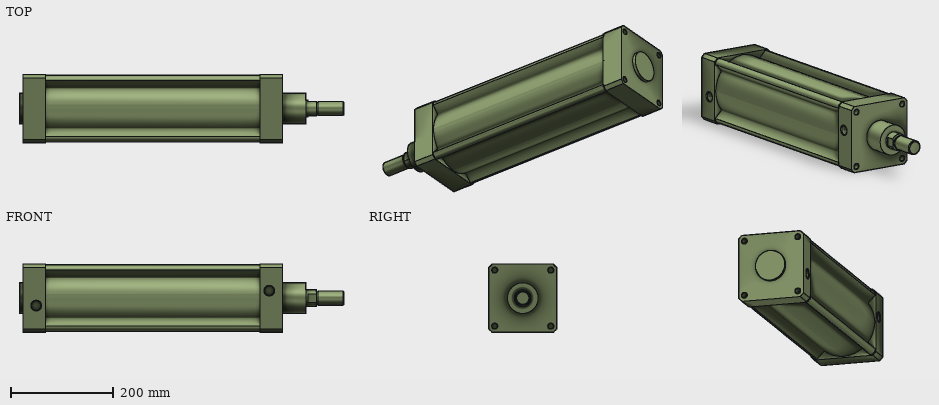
import cadquery as cq
import math

total_length = 635.0
rear_boss_length = 6.5
cap_length = 44.5
barrel_length = 420.0
front_boss_length = 46.0

cap_width = 134.0
cap_corner_chamfer = 7.0
boss_diameter = 60.5

port_diameter = 18.0
port_chamfer = 1.6
port_depth = 19.0
port_offset_z = 14.5
port_from_cap_face = 26.0

bolt_spacing = 110.0
bolt_hole_diameter = 10.0
bolt_hole_chamfer = 0.95
bolt_hole_depth = 19.0

barrel_diameter = 128.0
rib_width = 15.0
rib_tip_diameter = 21.0
rib_root_fillet = 2.0
ridge_width = 16.0

collar_diameter = 33.0
collar_length = 4.5
flats_length = 16.0
width_across_flats = 28.5
relief_length = 4.0
relief_diameter = 24.0
thread_diameter = 28.0
tip_chamfer = 2.0

rear_cap_x = rear_boss_length
barrel_x = rear_cap_x + cap_length
front_cap_x = barrel_x + barrel_length
front_boss_x = front_cap_x + cap_length
rod_x = front_boss_x + front_boss_length
rear_port_x = rear_cap_x + port_from_cap_face
front_port_x = front_boss_x - port_from_cap_face


def cylinder_x(start, length, diameter):
    """Cylinder on the X axis that begins at X = start."""
    return cq.Workplane("YZ", origin=(start, 0, 0)).circle(diameter / 2).extrude(length)


def make_cap_block(start):
    """Square block with chamfered long corners."""
    block = cq.Workplane("YZ", origin=(start, 0, 0)).rect(cap_width, cap_width).extrude(cap_length)
    return block.edges("|X").chamfer(cap_corner_chamfer)


def make_chamfered_hole(mouth, diameter, depth, chamfer):
    """Cutter for a blind hole that widens at its mouth and runs along the mouth plane's normal."""
    bore = cq.Workplane(mouth).circle(diameter / 2).extrude(depth)
    countersink = (
        cq.Workplane(mouth)
        .circle(diameter / 2 + chamfer)
        .workplane(offset=chamfer)
        .circle(diameter / 2)
        .loft()
    )
    return bore.union(countersink)


def cut_port(cap, x, z):
    """Cut a blind port with a chamfered mouth into the -Y side of a cap."""
    mouth = cq.Plane(origin=(x, -cap_width / 2, z), xDir=(1, 0, 0), normal=(0, 1, 0))
    return cap.cut(make_chamfered_hole(mouth, port_diameter, port_depth, port_chamfer))


def cut_bolt_holes(cap, face_x, inward):
    """Cut four blind holes into the cap face at X = face_x; inward is +1 or -1 along X."""
    for y_side in (-1, 1):
        for z_side in (-1, 1):
            centre = (face_x, y_side * bolt_spacing / 2, z_side * bolt_spacing / 2)
            mouth = cq.Plane(origin=centre, xDir=(0, 1, 0), normal=(inward, 0, 0))
            hole = make_chamfered_hole(mouth, bolt_hole_diameter, bolt_hole_depth, bolt_hole_chamfer)
            cap = cap.cut(hole)
    return cap


def make_rear_cap():
    cap = make_cap_block(rear_cap_x)
    cap = cap.union(cylinder_x(0, rear_boss_length, boss_diameter))
    cap = cut_port(cap, rear_port_x, -port_offset_z)
    return cut_bolt_holes(cap, rear_cap_x, 1)


def make_front_cap():
    cap = make_cap_block(front_cap_x)
    cap = cap.union(cylinder_x(front_boss_x, front_boss_length, boss_diameter))
    cap = cut_port(cap, front_port_x, port_offset_z)
    return cut_bolt_holes(cap, front_boss_x, -1)


def make_rib():
    """Radial rib along +Y with flat sides and a round tip centred at the bolt circle radius."""
    half_width = rib_width / 2
    tip_radius = rib_tip_diameter / 2
    tip_centre = bolt_spacing / math.sqrt(2)
    side_end = tip_centre + math.sqrt(tip_radius**2 - half_width**2)
    return (
        cq.Workplane("YZ", origin=(barrel_x, 0, 0))
        .moveTo(0, -half_width)
        .lineTo(side_end, -half_width)
        .threePointArc((tip_centre + tip_radius, 0), (side_end, half_width))
        .lineTo(0, half_width)
        .close()
        .extrude(barrel_length)
    )


def make_ridge():
    """Ridge along +Y whose two flat faces leave the round body tangentially and meet at a peak."""
    half_width = ridge_width / 2
    radius = barrel_diameter / 2
    foot = math.sqrt(radius**2 - half_width**2)
    peak = radius**2 / foot
    return (
        cq.Workplane("YZ", origin=(barrel_x, 0, 0))
        .polyline([(0, 0), (foot, -half_width), (peak, 0), (foot, half_width)])
        .close()
        .extrude(barrel_length)
    )


def turn_about_x(shape, angle):
    return shape.rotate((0, 0, 0), (1, 0, 0), angle)


def make_barrel():
    barrel = cylinder_x(barrel_x, barrel_length, barrel_diameter)
    for quarter in range(4):
        barrel = barrel.union(turn_about_x(make_rib(), 45 + 90 * quarter))

    root_edges = [
        edge for edge in barrel.edges("|X").vals()
        if abs(math.hypot(edge.Center().y, edge.Center().z) - barrel_diameter / 2) < rib_root_fillet
    ]
    barrel = barrel.newObject(root_edges).fillet(rib_root_fillet)

    for quarter in range(4):
        barrel = barrel.union(turn_about_x(make_ridge(), 90 * quarter))
    return barrel


def make_rod():
    flats_x = rod_x + collar_length
    relief_x = flats_x + flats_length
    thread_x = relief_x + relief_length
    collar = cylinder_x(rod_x, collar_length, collar_diameter)
    flats_limit = cq.Workplane("YZ", origin=(flats_x, 0, 0)).rect(width_across_flats, collar_diameter)
    flats = cylinder_x(flats_x, flats_length, collar_diameter).intersect(flats_limit.extrude(flats_length))
    relief = cylinder_x(relief_x, relief_length, relief_diameter)
    thread = cylinder_x(thread_x, total_length - thread_x, thread_diameter)
    thread = thread.faces(">X").chamfer(tip_chamfer)
    return collar.union(flats).union(relief).union(thread)


rear_cap = make_rear_cap()
barrel = make_barrel()
front_cap = make_front_cap()
rod = make_rod()

result = cq.Compound.makeCompound([rear_cap.val(), barrel.val(), front_cap.val(), rod.val()])